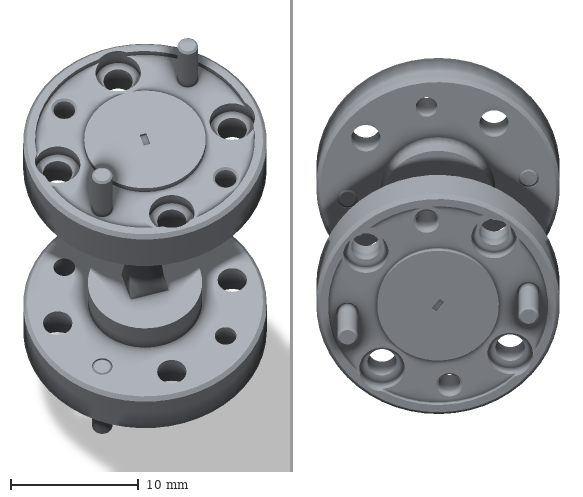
import cadquery as cq
import math

overall_length = 33.15
body_length = 25.4
flange_diameter = 19.05
flange_thickness = 4.08
flange_chamfer = 0.3
boss_diameter = 8.95
boss_height = 2.52

recess_diameter = 17.2
raised_disc_diameter = 9.5
recess_depth = 0.5

hole_circle_diameter = 14.3
screw_hole_diameter = 2.3
counterbore_diameter = 3.55
counterbore_depth = 1.05
screw_angles = (0, 90, 180, 270)
socket_diameter = 1.7
socket_chamfer = 0.15
socket_angles = (45, 225)
pin_diameter = 1.6
pin_hole_chamfer = 0.1
pin_chamfer = 0.15
pin_angles = (135, 315)

pocket_width = 1.1
pocket_height = 0.53
pocket_depth = 0.23

tube_width = 3.08
tube_height = 2.55

rim_z = body_length / 2
recess_floor_z = rim_z - recess_depth
flange_back_z = rim_z - flange_thickness
tube_end_z = flange_back_z - boss_height
hole_circle_radius = hole_circle_diameter / 2
flip_axis_end = (1, -1, 0)


def circle_points(angles):
    """Points on the hole circle at the given angles in degrees."""
    return [
        (
            hole_circle_radius * math.cos(math.radians(angle)),
            hole_circle_radius * math.sin(math.radians(angle)),
        )
        for angle in angles
    ]


def flip_to_lower_end(shape):
    return shape.rotate((0, 0, 0), flip_axis_end, 180)


def disc(diameter, bottom_z, top_z):
    return cq.Workplane("XY").workplane(offset=bottom_z).circle(diameter / 2).extrude(top_z - bottom_z)


def bores(angles, diameter, bottom_z, top_z):
    """Cylindrical cutters on the hole circle."""
    return (
        cq.Workplane("XY")
        .workplane(offset=bottom_z)
        .pushPoints(circle_points(angles))
        .circle(diameter / 2)
        .extrude(top_z - bottom_z)
    )


def chamfered_bores(angles, diameter, chamfer):
    """Cutters through the flange, widened at the recess floor."""
    straight = bores(angles, diameter, flange_back_z, recess_floor_z)
    mouth = (
        cq.Workplane("XY")
        .workplane(offset=recess_floor_z)
        .pushPoints(circle_points(angles))
        .circle(diameter / 2 + chamfer)
        .extrude(-chamfer, taper=45)
    )
    return straight.union(mouth)


def make_twisted_tube():
    """Rectangular bar turned a quarter turn, its long edges straight from end to end."""
    half_width = tube_width / 2
    half_height = tube_height / 2
    upper = [
        cq.Vector(half_width, half_height, tube_end_z),
        cq.Vector(-half_width, half_height, tube_end_z),
        cq.Vector(-half_width, -half_height, tube_end_z),
        cq.Vector(half_width, -half_height, tube_end_z),
    ]
    lower = [cq.Vector(-corner.y, corner.x, -tube_end_z) for corner in upper]

    faces = [cq.Face.makeFromWires(cq.Wire.makePolygon(end, close=True)) for end in (upper, lower)]
    for i in range(len(upper)):
        j = (i + 1) % len(upper)
        upper_edge = cq.Edge.makeLine(upper[i], upper[j])
        lower_edge = cq.Edge.makeLine(lower[i], lower[j])
        faces.append(cq.Face.makeRuledSurface(upper_edge, lower_edge))
    return cq.Workplane(cq.Solid.makeSolid(cq.Shell.makeShell(faces)))


def make_upper_flange():
    flange = disc(flange_diameter, flange_back_z, rim_z).edges().chamfer(flange_chamfer)
    flange = flange.union(disc(boss_diameter, tube_end_z, flange_back_z))

    recess = disc(recess_diameter, recess_floor_z, rim_z)
    recess = recess.cut(disc(raised_disc_diameter, recess_floor_z, rim_z))
    flange = flange.cut(recess)

    counterbore_floor_z = recess_floor_z - counterbore_depth
    flange = flange.cut(bores(screw_angles, screw_hole_diameter, flange_back_z, rim_z))
    flange = flange.cut(bores(screw_angles, counterbore_diameter, counterbore_floor_z, rim_z))

    flange = flange.cut(chamfered_bores(socket_angles, socket_diameter, socket_chamfer))
    flange = flange.cut(chamfered_bores(pin_angles, pin_diameter, pin_hole_chamfer))

    pocket = (
        cq.Workplane("XY")
        .workplane(offset=rim_z)
        .rect(pocket_width, pocket_height)
        .extrude(-pocket_depth)
    )
    return flange.cut(pocket)


def make_waveguide():
    """Both flanges joined by the twisted tube."""
    upper_flange = make_upper_flange()
    lower_flange = flip_to_lower_end(upper_flange)
    return upper_flange.union(make_twisted_tube()).union(lower_flange)


def make_upper_pin(center):
    """Alignment pin, flush with the back of the flange."""
    return (
        cq.Workplane("XY")
        .workplane(offset=flange_back_z)
        .center(*center)
        .circle(pin_diameter / 2)
        .extrude(overall_length / 2 - flange_back_z)
        .edges()
        .chamfer(pin_chamfer)
    )


waveguide = make_waveguide().solids()

pins = []
for pin_center in circle_points(pin_angles):
    upper_pin = make_upper_pin(pin_center)
    pins.append(upper_pin.val())
    pins.append(flip_to_lower_end(upper_pin).val())

result = cq.Compound.makeCompound([waveguide.val(), *pins])